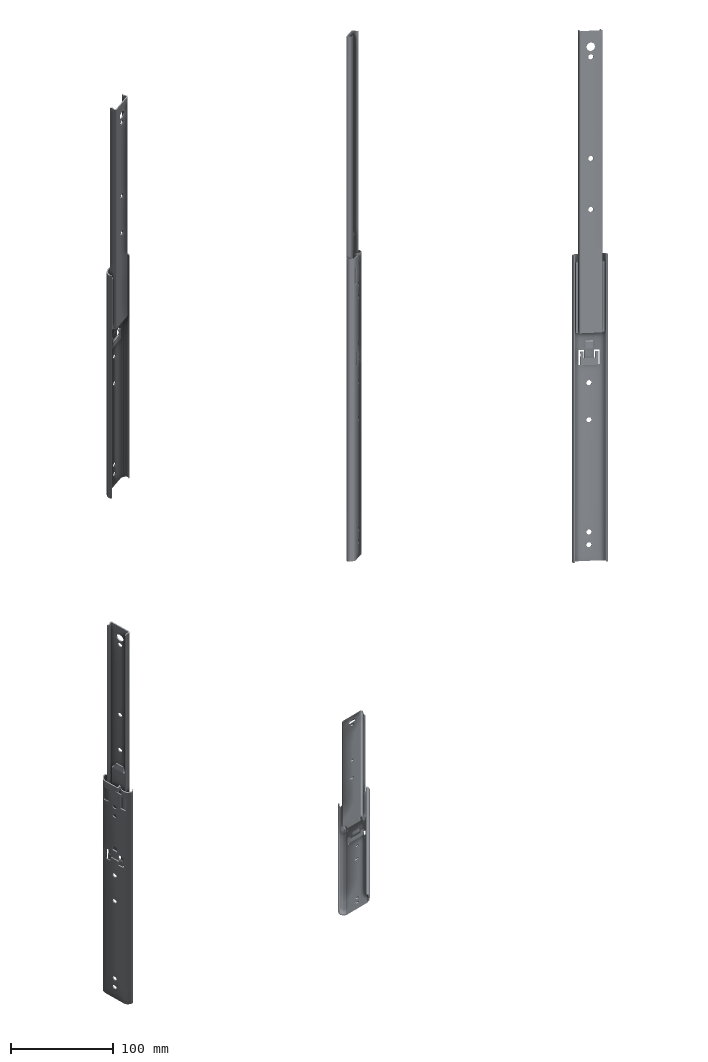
import cadquery as cq


TOTAL_HEIGHT = 529.0
TOTAL_WIDTH = 35.5
HALF_DEPTH = 4.8
SHEET = 1.0
BACK_X = -HALF_DEPTH
FRONT_X = HALF_DEPTH

OUTER_LENGTH = 305.5
OUTER_WEB_HALF = 12.0
OUTER_FLANGE_HALF = TOTAL_WIDTH / 2
OUTER_WEB_INSIDE_X = BACK_X + SHEET
SHOULDER_X = -3.9
SHOULDER_Y = 15.0
TRACK_START_X = -2.0
TRACK_START_Y = 16.5
OUTER_LIP_X = 3.4
OUTER_LIP_Y = TRACK_START_Y
TRACK_X = (TRACK_START_X + OUTER_LIP_X) / 2

INNER_LENGTH = 300.5
INNER_BOTTOM = TOTAL_HEIGHT - INNER_LENGTH
INNER_WEB_INSIDE_X = FRONT_X - SHEET
INNER_HALF = 11.5
INNER_CORNER = 1.5
INNER_LIP_X = -1.85
INNER_LIP_Y = INNER_HALF
GROOVE_X = -0.25
GROOVE_Y = 10.95

SCREW_HOLE = 5.0
LARGE_HOLE = 8.5
LARGE_HOLE_Z = 513.0
INNER_HOLES_Z = (503.0, 402.0, 351.0)
OUTER_HOLES_Z = (276.0, 263.5, 177.0, 140.0, 28.5, 16.0)

LUG_TOP = 219.0
LUG_FLOOR_TOP = 217.5
LUG_BOTTOM = 212.5
LUG_HALF = 2.5
LUG_DEPTH = 1.5
CHANNEL_NEAR_Y = -0.5
CHANNEL_STEP_Y = -3.5
CHANNEL_FAR_Y = -8.5
CHANNEL_STEP_DEPTH = 0.5
CHANNEL_DEPTH = 3.5
CHANNEL_LENGTH = 7.0

WINDOW_BOTTOM = 278.5
WINDOW_TOP = 296.0
WINDOW_NEAR_Y = 7.5
WINDOW_FAR_Y = 14.0
RETAINER_BOTTOM = INNER_BOTTOM
RETAINER_TOP = 298.0
RETAINER_NEAR_Y = 9.0
RETAINER_THICKNESS = 1.5
RETAINER_LEG_NEAR_Y = 12.0
RETAINER_LEG_FAR_Y = 14.5
RETAINER_LEG_X = 2.0

CLIP_BOTTOM = 195.0
CLIP_WINDOW_TOP = 210.0
CLIP_WINDOW_NEAR_Y = 5.0
CLIP_WINDOW_FAR_Y = 10.5
CLIP_SLOT_BOTTOM = 198.5
CLIP_SLOT_TOP = 202.0
CLIP_BAR_TOP = 200.5
TONGUE_NEAR_Y = 6.0
TONGUE_FAR_Y = 9.0
TONGUE_TOP = 208.5
TONGUE_THICKNESS = 1.85
TONGUE_HOLLOW = 1.3

LATCH_TOP = 330.0
LATCH_RAMP_HEIGHT = 5.5
LATCH_BOTTOM = INNER_BOTTOM
LATCH_HALF = 7.5
LATCH_RAMP_HALF = 6.5
LATCH_TIP_HALF = 4.0
LATCH_THICKNESS = 3.0
LATCH_TIP_THICKNESS = 1.0


def block(x_min, x_max, y_min, y_max, z_min, z_max):
    """Box between the given limits."""
    size = (x_max - x_min, y_max - y_min, z_max - z_min)
    return cq.Workplane("XY").box(*size, centered=False).translate((x_min, y_min, z_min))


def cross_hole(diameter, z):
    """Cylinder along X that drills a web at height z."""
    return (
        cq.Workplane("YZ", origin=(BACK_X, 0, z))
        .circle(diameter / 2)
        .extrude(FRONT_X - BACK_X)
    )


def mirrored(body):
    """The body together with its mirror image about Y = 0."""
    return body.union(body.mirror("XZ"))


def outer_section():
    """Half outline of the outer rail: web, two-step shoulder and rounded ball track."""
    half_sheet = SHEET / 2
    return (
        cq.Workplane("XY")
        .moveTo(BACK_X, 0)
        .lineTo(BACK_X, OUTER_WEB_HALF)
        .lineTo(SHOULDER_X, SHOULDER_Y)
        .lineTo(TRACK_START_X, TRACK_START_Y)
        .threePointArc((TRACK_X, OUTER_FLANGE_HALF), (OUTER_LIP_X, OUTER_LIP_Y))
        .lineTo(OUTER_LIP_X - half_sheet, OUTER_LIP_Y - SHEET)
        .threePointArc(
            (TRACK_X, OUTER_FLANGE_HALF - SHEET),
            (TRACK_START_X + half_sheet, TRACK_START_Y - SHEET),
        )
        .lineTo(SHOULDER_X + SHEET, SHOULDER_Y - half_sheet)
        .lineTo(OUTER_WEB_INSIDE_X, OUTER_WEB_HALF)
        .lineTo(OUTER_WEB_INSIDE_X, 0)
        .close()
    )


def stop_lug(wall):
    """Pocket of the pressed lug, grown by the given wall thickness."""
    floor_x = BACK_X + LUG_DEPTH + wall
    return (
        cq.Workplane("XZ", origin=(0, LUG_HALF + wall, 0))
        .polyline([
            (BACK_X, LUG_BOTTOM - wall),
            (floor_x, LUG_BOTTOM - wall),
            (floor_x, LUG_FLOOR_TOP + wall),
            (BACK_X, LUG_TOP + wall),
        ])
        .close()
        .extrude(2 * (LUG_HALF + wall))
    )


def pressed_channel(wall):
    """Stepped channel at the top of the web, grown by the given wall thickness."""
    return (
        cq.Workplane("XY", origin=(0, 0, OUTER_LENGTH - CHANNEL_LENGTH))
        .polyline([
            (BACK_X, CHANNEL_NEAR_Y + wall),
            (BACK_X + CHANNEL_STEP_DEPTH + wall, CHANNEL_STEP_Y + wall),
            (BACK_X + CHANNEL_DEPTH + wall, CHANNEL_STEP_Y + wall),
            (BACK_X, CHANNEL_FAR_Y - wall),
        ])
        .close()
        .extrude(CHANNEL_LENGTH)
    )


def retainer_window():
    """Opening across the corner of web and shoulder."""
    return block(BACK_X, SHOULDER_X + SHEET, WINDOW_NEAR_Y, WINDOW_FAR_Y, WINDOW_BOTTOM, WINDOW_TOP)


def clip_opening():
    """Two windows joined by a cross slot."""
    window = block(
        BACK_X, OUTER_WEB_INSIDE_X,
        CLIP_WINDOW_NEAR_Y, CLIP_WINDOW_FAR_Y, CLIP_BOTTOM, CLIP_WINDOW_TOP,
    )
    slot = block(
        BACK_X, OUTER_WEB_INSIDE_X,
        -CLIP_WINDOW_NEAR_Y, CLIP_WINDOW_NEAR_Y, CLIP_SLOT_BOTTOM, CLIP_SLOT_TOP,
    )
    return mirrored(window).union(slot)


def make_outer_rail():
    rail = mirrored(outer_section().extrude(OUTER_LENGTH))
    rail = rail.union(stop_lug(SHEET)).cut(stop_lug(0))
    rail = rail.union(pressed_channel(SHEET)).cut(pressed_channel(0))
    rail = rail.cut(mirrored(retainer_window())).cut(clip_opening())
    for z in OUTER_HOLES_Z:
        rail = rail.cut(cross_hole(SCREW_HOLE, z))
    return rail


def inner_section():
    """Half outline of the inner rail: web, rounded corner and leg with a shallow ball groove."""
    corner_x = FRONT_X - INNER_CORNER
    corner_y = INNER_HALF - INNER_CORNER
    return (
        cq.Workplane("XY")
        .moveTo(FRONT_X, 0)
        .lineTo(FRONT_X, corner_y)
        .tangentArcPoint((corner_x, INNER_HALF), relative=False)
        .spline([(GROOVE_X, GROOVE_Y)], tangents=[(-1, 0), (-1, 0)], includeCurrent=True)
        .lineTo(INNER_LIP_X, INNER_LIP_Y)
        .lineTo(INNER_LIP_X, INNER_LIP_Y - SHEET)
        .lineTo(GROOVE_X, GROOVE_Y - SHEET)
        .spline([(corner_x, INNER_HALF - SHEET)], tangents=[(1, 0), (1, 0)], includeCurrent=True)
        .lineTo(INNER_WEB_INSIDE_X, corner_y)
        .lineTo(INNER_WEB_INSIDE_X, 0)
        .close()
    )


def make_inner_rail():
    rail = mirrored(inner_section().extrude(INNER_LENGTH)).translate((0, 0, INNER_BOTTOM))
    for z in INNER_HOLES_Z:
        rail = rail.cut(cross_hole(SCREW_HOLE, z))
    return rail.cut(cross_hole(LARGE_HOLE, LARGE_HOLE_Z))


def make_retainer(side):
    """Angle strip: a plate against the outer web and a leg in the ball gap."""
    back_x = OUTER_WEB_INSIDE_X
    front_x = back_x + RETAINER_THICKNESS
    plate = block(
        back_x, front_x, RETAINER_NEAR_Y, RETAINER_LEG_NEAR_Y, RETAINER_BOTTOM, RETAINER_TOP
    )
    leg = block(
        SHOULDER_X + SHEET, RETAINER_LEG_X,
        RETAINER_LEG_NEAR_Y, RETAINER_LEG_FAR_Y, RETAINER_BOTTOM, RETAINER_TOP,
    )
    strip = plate.union(leg)
    return strip if side > 0 else strip.mirror("XZ")


def make_stop_clip():
    """Plate behind the outer web, a bar in the cross slot and a hollowed tongue in each window."""
    back_x = OUTER_WEB_INSIDE_X
    front_x = back_x + TONGUE_THICKNESS
    plate = block(back_x, front_x, -TONGUE_FAR_Y, TONGUE_FAR_Y, CLIP_BOTTOM, CLIP_SLOT_TOP)
    bar = block(
        BACK_X, back_x, -CLIP_WINDOW_NEAR_Y, CLIP_WINDOW_NEAR_Y, CLIP_SLOT_BOTTOM, CLIP_BAR_TOP
    )
    tongue = (
        cq.Workplane("XZ", origin=(0, TONGUE_FAR_Y, 0))
        .moveTo(front_x, CLIP_SLOT_TOP)
        .lineTo(front_x, TONGUE_TOP)
        .lineTo(back_x, TONGUE_TOP)
        .threePointArc(
            (back_x + TONGUE_HOLLOW, (TONGUE_TOP + CLIP_SLOT_TOP) / 2), (back_x, CLIP_SLOT_TOP)
        )
        .close()
        .extrude(TONGUE_FAR_Y - TONGUE_NEAR_Y)
    )
    return plate.union(bar).union(mirrored(tongue))


def make_latch():
    """Flat bar on the inner web, ending at its top in a ramp that narrows towards the tip."""
    ramp_z = LATCH_TOP - LATCH_RAMP_HEIGHT
    face_x = INNER_WEB_INSIDE_X - LATCH_THICKNESS
    bar = block(face_x, INNER_WEB_INSIDE_X, -LATCH_HALF, LATCH_HALF, LATCH_BOTTOM, ramp_z)
    slope = (
        cq.Workplane("XZ", origin=(0, LATCH_RAMP_HALF, 0))
        .polyline([
            (face_x, ramp_z),
            (INNER_WEB_INSIDE_X, ramp_z),
            (INNER_WEB_INSIDE_X, LATCH_TOP),
            (INNER_WEB_INSIDE_X - LATCH_TIP_THICKNESS, LATCH_TOP),
        ])
        .close()
        .extrude(2 * LATCH_RAMP_HALF)
    )
    outline = (
        cq.Workplane("YZ", origin=(face_x, 0, 0))
        .polyline([
            (-LATCH_RAMP_HALF, ramp_z),
            (LATCH_RAMP_HALF, ramp_z),
            (LATCH_TIP_HALF, LATCH_TOP),
            (-LATCH_TIP_HALF, LATCH_TOP),
        ])
        .close()
        .extrude(LATCH_THICKNESS)
    )
    return bar.union(slope.intersect(outline))


outer_rail = make_outer_rail()
inner_rail = make_inner_rail()
latch = make_latch()
stop_clip = make_stop_clip()
retainers = [make_retainer(side) for side in (1, -1)]

result = cq.Compound.makeCompound([
    outer_rail.val(),
    inner_rail.val(),
    latch.val(),
    stop_clip.val(),
    *[retainer.val() for retainer in retainers],
])